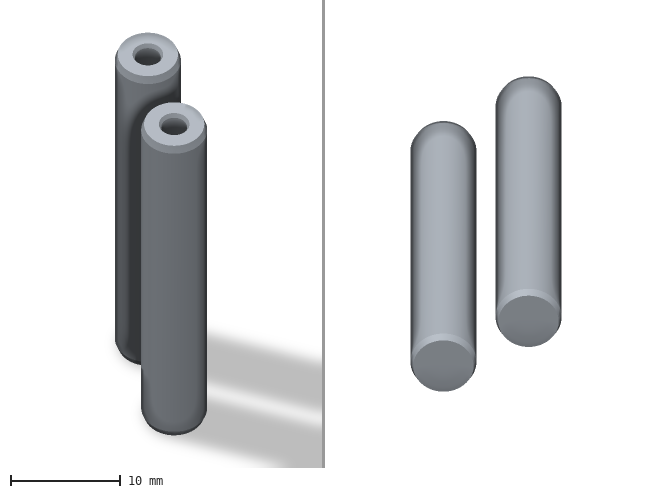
import cadquery as cq
import math

pin_length = 38.1
pin_diameter = 6.02
pin_count = 2
pin_spacing = 9.1

end_chamfer_length = 0.75
end_chamfer_inset = 0.25

bore_diameter = 2.35
bore_depth = 9.9
drill_point_angle = 120.0
countersink_diameter = 2.8
countersink_depth = 0.42

pin_radius = pin_diameter / 2
end_radius = pin_radius - end_chamfer_inset
bore_radius = bore_diameter / 2
countersink_radius = countersink_diameter / 2
drill_point_height = bore_radius / math.tan(math.radians(drill_point_angle / 2))
half_length = pin_length / 2


def revolve_about_z(profile):
    """Turn a closed (radius, height) profile into a solid around Z."""
    return cq.Workplane("XZ").polyline(profile).close().revolve(360, (0, 0), (0, 1))


def pin_blank():
    """Plain cylinder with a shallow lead-in taper at both ends."""
    return revolve_about_z([
        (0, -half_length),
        (end_radius, -half_length),
        (pin_radius, -half_length + end_chamfer_length),
        (pin_radius, half_length - end_chamfer_length),
        (end_radius, half_length),
        (0, half_length),
    ])


def extraction_hole():
    """Countersunk blind hole with a conical bottom, open at the top end."""
    bore_bottom = half_length - bore_depth
    return revolve_about_z([
        (0, half_length),
        (countersink_radius, half_length),
        (bore_radius, half_length - countersink_depth),
        (bore_radius, bore_bottom),
        (0, bore_bottom - drill_point_height),
    ])


def dowel_pin(x_position):
    """One complete pin standing upright at the given X position."""
    return pin_blank().cut(extraction_hole()).translate((x_position, 0, 0))


first_pin_x = -(pin_count - 1) * pin_spacing / 2
dowel_pins = [dowel_pin(first_pin_x + i * pin_spacing) for i in range(pin_count)]

result = cq.Compound.makeCompound([pin.val() for pin in dowel_pins])